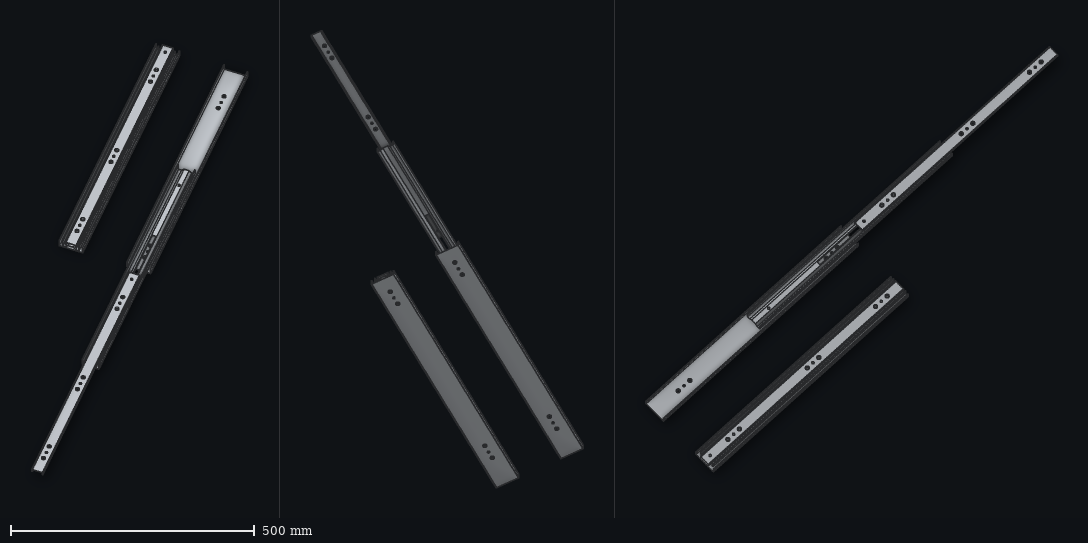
import cadquery as cq


overall_length = 1124.0
overall_width = 202.0
overall_height = 19.0
back_y = overall_length / 2

sheet = 1.7
base_gap = 1.7

outer_length = 550.0
outer_width = 53.0
outer_height = 16.0

middle_length = 543.0
middle_width = 38.0
middle_bottom = sheet + base_gap
middle_bend_radius = 3.0
hat_foot_half_width = 11.0
hat_top_half_width = 6.0
hat_top = 10.7
slot_length = 177.0
slot_width = 8.0
stop_hole_from_back = 43.0

inner_length = 550.0
inner_width = 25.0
inner_depth = 8.0
latch_hole_from_back = 16.0

hole_diameter = 5.0
countersink_diameter = 9.0
screw_hole_pitch = 33.0
outer_groups_from_back = (83.0, 499.0)
inner_groups_from_back = (82.0, 306.0, 498.0)

slide_x = (overall_width - outer_width) / 2
closed_middle_setback = 7.0
closed_middle_back_y = back_y - closed_middle_setback
extended_middle_back_y = 283.0
extended_inner_back_y = -back_y + inner_length


def extrude_half_profile(half_profile, length):
    """Mirror a half profile about the centre plane and extrude it toward -Y from Y = 0."""
    return half_profile.mirrorY().extrude(length)


def drill(body, from_back):
    """Cut a vertical through hole on the centreline."""
    cutter = cq.Workplane("XY").center(0, -from_back).circle(hole_diameter / 2).extrude(overall_height)
    return body.cut(cutter)


def countersink(body, from_back, top):
    """Cut a cone that opens at height top and narrows to the hole diameter at the sheet's underside."""
    cone = (
        cq.Workplane("XY", origin=(0, -from_back, top - sheet))
        .circle(hole_diameter / 2)
        .workplane(offset=sheet)
        .circle(countersink_diameter / 2)
        .loft()
    )
    return body.cut(cone)


def drill_mounting_group(body, from_back, top):
    """Cut one plain hole with a countersunk hole on each side of it."""
    body = drill(body, from_back)
    for side in (-1, 1):
        body = countersink(body, from_back + side * screw_hole_pitch / 2, top)
    return body


def make_outer_member():
    half_width = outer_width / 2
    half_profile = (
        cq.Workplane("XZ")
        .moveTo(0, 0)
        .lineTo(half_width, 0)
        .lineTo(half_width, outer_height)
        .lineTo(half_width - sheet, outer_height)
        .lineTo(half_width - sheet, sheet)
        .lineTo(0, sheet)
    )
    body = extrude_half_profile(half_profile, outer_length)
    for from_back in outer_groups_from_back:
        body = drill_mounting_group(body, from_back, sheet)
    return body


def make_middle_member():
    half_width = middle_width / 2
    bend_x = half_width - middle_bend_radius
    bend_z = middle_bottom + middle_bend_radius
    floor = middle_bottom + sheet
    half_profile = (
        cq.Workplane("XZ")
        .moveTo(0, hat_top - sheet)
        .lineTo(hat_top_half_width, hat_top - sheet)
        .lineTo(hat_foot_half_width, middle_bottom)
        .lineTo(bend_x, middle_bottom)
        .radiusArc((half_width, bend_z), -middle_bend_radius)
        .lineTo(half_width, overall_height)
        .lineTo(half_width - sheet, overall_height)
        .lineTo(half_width - sheet, floor)
        .lineTo(hat_foot_half_width, floor)
        .lineTo(hat_top_half_width, hat_top)
        .lineTo(0, hat_top)
    )
    body = extrude_half_profile(half_profile, middle_length)
    slot = (
        cq.Workplane("XY")
        .center(0, -middle_length / 2)
        .rect(slot_width, slot_length)
        .extrude(overall_height)
    )
    return drill(body.cut(slot), stop_hole_from_back)


def make_inner_member():
    half_width = inner_width / 2
    flange_bottom = overall_height - inner_depth
    half_profile = (
        cq.Workplane("XZ")
        .moveTo(0, overall_height)
        .lineTo(half_width, overall_height)
        .lineTo(half_width, flange_bottom)
        .lineTo(half_width - sheet, flange_bottom)
        .lineTo(half_width - sheet, overall_height - sheet)
        .lineTo(0, overall_height - sheet)
    )
    body = extrude_half_profile(half_profile, inner_length)
    body = drill(body, latch_hole_from_back)
    for from_back in inner_groups_from_back:
        body = drill_mounting_group(body, from_back, overall_height)
    return body


outer_member = make_outer_member()
middle_member = make_middle_member()
inner_member = make_inner_member()

slides = (
    (-slide_x, closed_middle_back_y, back_y),
    (slide_x, extended_middle_back_y, extended_inner_back_y),
)

bodies = []
for x, middle_back_y, inner_back_y in slides:
    bodies.append(outer_member.translate((x, back_y, 0)).val())
    bodies.append(middle_member.translate((x, middle_back_y, 0)).val())
    bodies.append(inner_member.translate((x, inner_back_y, 0)).val())

result = cq.Compound.makeCompound(bodies)